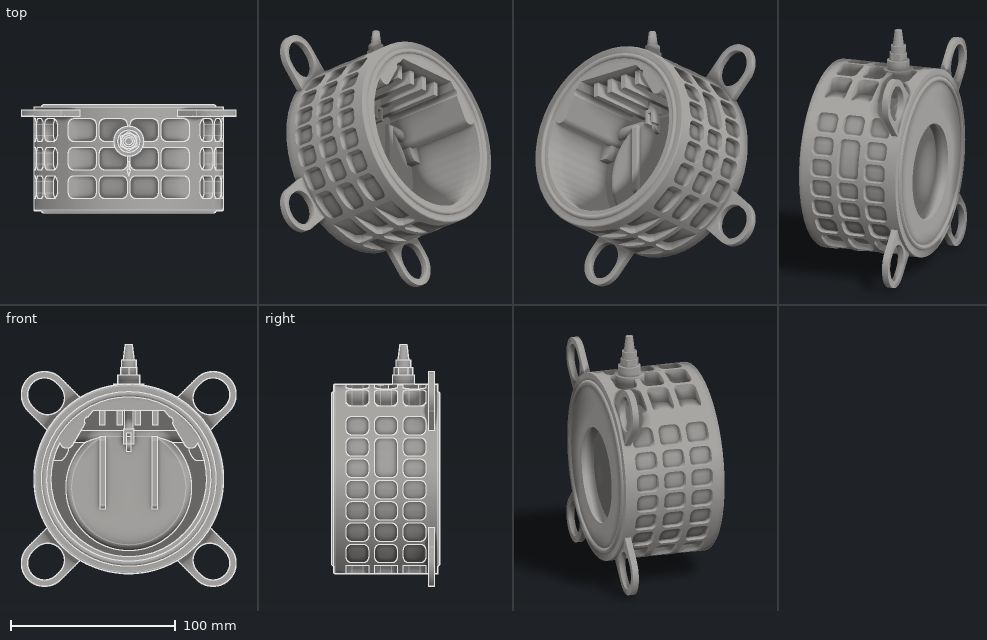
import cadquery as cq
import math

EXTRA = 14.7

BODY_RADIUS = 57.6
BODY_LENGTH = 63.2
FRONT_Y = -BODY_LENGTH / 2
BACK_Y = BODY_LENGTH / 2
FRONT_EDGE_RADIUS = 0.9
BORE_RADIUS = 47.2
WALL_OVERLAP = 1.5

BEAD_RADIUS = 1.6
BEAD_PITCH_RADIUS = 51.5
BEAD_HEIGHT = 1.3

ROD_RADIUS = 3.7
ROD_Y = 20.1
ROD_Z = 25.9
ROD_LENGTH = 72.0
FLAP_RADIUS = 38.2
FLAP_Z = -5.3
FLAP_EDGE_RADIUS = 3.5
FLAP_FRONT_Y = ROD_Y - ROD_RADIUS
SEAT_Y = ROD_Y + ROD_RADIUS
SEAT_OPENING_RADIUS = 29.4

FLAP_RIB_X = 15.9
FLAP_RIB_WIDTH = 3.2
FLAP_RIB_BOTTOM_Z = -18.2
FLAP_RIB_HEIGHT = 3.7
FLAP_RIB_ROUNDING = 2.4

TAB_WIDTH = 2.6
TAB_BOTTOM_Z = 16.8
TAB_HEIGHT = 4.5
TAB_ROUNDING = 4.3

CEILING_Z = 41.6
CEILING_HALF_WIDTH = 21.5
CROWN_RELIEF_START = (24.7, 37.8)
CROWN_RELIEF_MIDDLE = (26.9, 35.1)
CROWN_RELIEF_END = (26.5, 33.8)
CROWN_FOOT_START = (34.0, 20.7)
CROWN_FOOT_MIDDLE = (37.2, 18.7)
CROWN_FOOT_END = (41.9, 22.8)

CHEEK_BOTTOM_Z = 11.2
CHEEK_CORNER_X = 40.8
CHEEK_CURVE_MIDDLE = (38.6, 13.2)
CHEEK_TOP = (36.5, 18.5)

CEILING_RIB_OUTER_X = 16.0
CEILING_RIB_XS = [CEILING_RIB_OUTER_X * i / 3 for i in (-3, -1, 1, 3)]
CEILING_RIB_WIDTH = 3.4
CEILING_RIB_BOTTOM_Z = 32.8
CEILING_RIB_FRONT_Y = -24.0

POCKET_ROW_PITCH = 17.3
POCKET_ROW_MIDDLE_Y = 0.1
POCKET_ROW_YS = [POCKET_ROW_MIDDLE_Y + i * POCKET_ROW_PITCH for i in (-1, 0, 1)]
POCKET_LENGTH = 13.8
POCKET_CORNER_RADIUS = 3.5
TOP_POCKET_WIDTH = 17.0
TOP_POCKET_PITCH = 18.8
TOP_POCKET_XS = [TOP_POCKET_PITCH * i / 2 for i in (-3, -1, 1, 3)]
TOP_POCKET_FLOOR_Z = 44.4
SIDE_POCKET_HEIGHT = 11.2
SIDE_POCKET_PITCH = 13.0
SIDE_POCKET_COUNT = 7
SIDE_POCKET_TOP_Z = 32.3
SIDE_POCKET_FLOOR_RADIUS = 52.9
JOINED_POCKET_ROWS = (1, 2)
BOTTOM_POCKET_INNER_X = 1.0
BOTTOM_POCKET_OUTER_X = 29.4
BOTTOM_POCKET_FLOOR_Z = -52.5

EAR_CENTER = 51.1
EAR_RADIUS = 14.1
EAR_THICKNESS = 3.8
EAR_BACK_Y = 29.7
EAR_HOLE_RADIUS = 10.1
EAR_HOLE_INNER = 49.2

INDICATOR_Y = 10.7
BOSS_RADIUS = 9.1
BOSS_TOP_Z = BODY_RADIUS
COLLAR_RADIUS = 6.8
COLLAR_TOP_Z = 63.2
HEX_ACROSS_CORNERS = 11.5
HEX_TOP_Z = 67.7
NECK_RADIUS = 4.5
NECK_TOP_Z = 72.3
TIP_BASE_RADIUS = 3.4
TIP_END_RADIUS = 2.2
TIP_TOP_Z = 81.7
PLUNGER_RADIUS = 2.6
FORK_WIDTH = 6.2
FORK_TOP_Z = 30.3
FORK_BOTTOM_Z = 21.3
FORK_SLOT_TOP_Z = 27.9

ARROW_START_Y = -1.5
ARROW_HEAD_Y = -6.5
ARROW_TIP_Y = -10.3
ARROW_SHAFT_HALF_WIDTH = 0.6
ARROW_HEAD_HALF_WIDTH = 1.2
ARROW_DEPTH = 0.5


def box(x_range, y_range, z_range):
    """Box between pairs of coordinates."""
    (x0, x1), (y0, y1), (z0, z1) = x_range, y_range, z_range
    return cq.Workplane("XY").box(x1 - x0, y1 - y0, z1 - z0, centered=False).translate((x0, y0, z0))


def profile_plane(y):
    """XZ workplane at y; extruding from it by a positive length goes towards +Y."""
    return cq.Workplane(cq.Plane(origin=(0, y, 0), xDir=(-1, 0, 0), normal=(0, 1, 0)))


def pipe_cylinder(radius, y0, y1, z=0.0):
    """Cylinder parallel to the pipe axis."""
    return profile_plane(y0).center(0, z).circle(radius).extrude(y1 - y0)


def post(radius, z0, z1):
    """Upright cylinder on the indicator axis."""
    return cq.Workplane("XY", origin=(0, INDICATOR_Y, z0)).circle(radius).extrude(z1 - z0)


def rod(radius):
    """Hinge rod along X."""
    plane = cq.Workplane("YZ", origin=(-ROD_LENGTH / 2, ROD_Y, ROD_Z))
    return plane.circle(radius).extrude(ROD_LENGTH)


def with_mirror(shape):
    """Shape joined with its copy on the other side of the YZ plane."""
    return shape.union(shape.mirror("YZ"))


def make_tube():
    tube = pipe_cylinder(BODY_RADIUS, FRONT_Y, BACK_Y).faces("<Y").edges().fillet(FRONT_EDGE_RADIUS)
    tube = tube.cut(pipe_cylinder(BORE_RADIUS, FRONT_Y, SEAT_Y))
    return tube.cut(pipe_cylinder(SEAT_OPENING_RADIUS, SEAT_Y, BACK_Y, FLAP_Z))


def make_beads():
    """Half-round sealing beads on the front and back faces."""
    sink = BEAD_RADIUS - BEAD_HEIGHT
    beads = cq.Workplane("XY")
    for y in (FRONT_Y + sink, BACK_Y - sink):
        ring = cq.Solid.makeTorus(BEAD_PITCH_RADIUS, BEAD_RADIUS, cq.Vector(0, y, 0), cq.Vector(0, 1, 0))
        beads = beads.add(ring)
    return beads.combine()


def make_crown():
    """Fill above the flat ceiling, with sloping, relieved sides and rounded feet, full length of the bore."""
    half = (
        profile_plane(FRONT_Y)
        .moveTo(0, BORE_RADIUS + EXTRA)
        .lineTo(0, CEILING_Z)
        .lineTo(CEILING_HALF_WIDTH, CEILING_Z)
        .lineTo(*CROWN_RELIEF_START)
        .threePointArc(CROWN_RELIEF_MIDDLE, CROWN_RELIEF_END)
        .lineTo(*CROWN_FOOT_START)
        .threePointArc(CROWN_FOOT_MIDDLE, CROWN_FOOT_END)
        .lineTo(BORE_RADIUS + EXTRA, CROWN_FOOT_END[1])
        .lineTo(BORE_RADIUS + EXTRA, BORE_RADIUS + EXTRA)
        .close()
        .extrude(SEAT_Y - FRONT_Y)
    )
    return with_mirror(half).intersect(bore_fill())


def make_cheeks():
    """Rounded cheeks beside the seat that carry the ends of the hinge rod."""
    cheek = (
        profile_plane(FLAP_FRONT_Y)
        .moveTo(BORE_RADIUS + EXTRA, CHEEK_BOTTOM_Z)
        .lineTo(CHEEK_CORNER_X, CHEEK_BOTTOM_Z)
        .threePointArc(CHEEK_CURVE_MIDDLE, CHEEK_TOP)
        .lineTo(CHEEK_TOP[0], CROWN_FOOT_END[1])
        .lineTo(BORE_RADIUS + EXTRA, CROWN_FOOT_END[1])
        .close()
        .extrude(SEAT_Y - FLAP_FRONT_Y)
    )
    return with_mirror(cheek).intersect(bore_fill())


def bore_fill():
    """Plug that fills the bore and reaches slightly into the tube wall."""
    return pipe_cylinder(BORE_RADIUS + WALL_OVERLAP, FRONT_Y, SEAT_Y)


def make_ceiling_ribs():
    ribs = cq.Workplane("XY")
    for x in CEILING_RIB_XS:
        x_range = (x - CEILING_RIB_WIDTH / 2, x + CEILING_RIB_WIDTH / 2)
        ribs = ribs.union(box(x_range, (CEILING_RIB_FRONT_Y, SEAT_Y), (CEILING_RIB_BOTTOM_Z, CEILING_Z)))
    return ribs


def make_ears():
    """Four rounded ears on the diagonals, each with a slightly elongated hole."""
    reach = EAR_CENTER * math.sqrt(2)
    hole_reach = EAR_HOLE_INNER * math.sqrt(2)
    hole_length = reach - hole_reach + 2 * EAR_HOLE_RADIUS
    plane = profile_plane(EAR_BACK_Y - EAR_THICKNESS)
    ear = plane.center(reach / 2, 0).rect(reach, 2 * EAR_RADIUS).extrude(EAR_THICKNESS)
    ear = ear.union(plane.moveTo(reach, 0).circle(EAR_RADIUS).extrude(EAR_THICKNESS))
    hole = plane.moveTo((reach + hole_reach) / 2, 0).slot2D(hole_length, 2 * EAR_HOLE_RADIUS)
    ear = ear.cut(hole.extrude(EAR_THICKNESS))
    ear = ear.cut(pipe_cylinder(SIDE_POCKET_FLOOR_RADIUS, FRONT_Y, BACK_Y))
    ears = cq.Workplane("XY")
    for angle in (45, 135, 225, 315):
        ears = ears.union(ear.rotate((0, 0, 0), (0, 1, 0), angle))
    return ears


def pocket_y_range(y):
    return (y - POCKET_LENGTH / 2, y + POCKET_LENGTH / 2)


def make_top_pockets():
    pockets = cq.Workplane("XY")
    for x in TOP_POCKET_XS:
        x_range = (x - TOP_POCKET_WIDTH / 2, x + TOP_POCKET_WIDTH / 2)
        for y in POCKET_ROW_YS:
            pocket = box(x_range, pocket_y_range(y), (TOP_POCKET_FLOOR_Z, BODY_RADIUS + EXTRA))
            pockets = pockets.union(pocket.edges("|Z").fillet(POCKET_CORNER_RADIUS))
    return pockets


def side_pocket(y, top_row, bottom_row):
    """Pocket cut along X into the +X side from one row to another, its floor concentric with the tube."""
    top_z = SIDE_POCKET_TOP_Z - top_row * SIDE_POCKET_PITCH + SIDE_POCKET_HEIGHT / 2
    bottom_z = SIDE_POCKET_TOP_Z - bottom_row * SIDE_POCKET_PITCH - SIDE_POCKET_HEIGHT / 2
    pocket = box((0, BODY_RADIUS + EXTRA), pocket_y_range(y), (bottom_z, top_z))
    pocket = pocket.edges("|X").fillet(POCKET_CORNER_RADIUS)
    return pocket.cut(pipe_cylinder(SIDE_POCKET_FLOOR_RADIUS, FRONT_Y, BACK_Y))


def make_side_pockets():
    """Pockets on both sides, with one double-height pocket on the +X side."""
    pockets = cq.Workplane("XY")
    for row in range(SIDE_POCKET_COUNT):
        for y in POCKET_ROW_YS:
            pockets = pockets.union(side_pocket(y, row, row))
    return with_mirror(pockets).union(side_pocket(POCKET_ROW_MIDDLE_Y, *JOINED_POCKET_ROWS))


def make_bottom_pockets():
    """Wide pockets from below whose flat floors run out through the side of the tube."""
    pockets = cq.Workplane("XY")
    x_range = (BOTTOM_POCKET_INNER_X, BOTTOM_POCKET_OUTER_X)
    for y in POCKET_ROW_YS:
        pocket = box(x_range, pocket_y_range(y), (-BODY_RADIUS - EXTRA, BOTTOM_POCKET_FLOOR_Z))
        pockets = pockets.union(pocket.edges("|Z").fillet(POCKET_CORNER_RADIUS))
    return with_mirror(pockets)


def make_arrow():
    outline = [
        (ARROW_SHAFT_HALF_WIDTH, ARROW_START_Y),
        (ARROW_SHAFT_HALF_WIDTH, ARROW_HEAD_Y),
        (ARROW_HEAD_HALF_WIDTH, ARROW_HEAD_Y),
        (0, ARROW_TIP_Y),
        (-ARROW_HEAD_HALF_WIDTH, ARROW_HEAD_Y),
        (-ARROW_SHAFT_HALF_WIDTH, ARROW_HEAD_Y),
        (-ARROW_SHAFT_HALF_WIDTH, ARROW_START_Y),
    ]
    plane = cq.Workplane("XY").workplane(offset=BODY_RADIUS - ARROW_DEPTH)
    return plane.polyline(outline).close().extrude(EXTRA)


def make_housing():
    housing = make_tube().union(make_crown()).union(make_cheeks()).union(make_ceiling_ribs())
    housing = housing.union(make_beads()).union(make_ears())
    housing = housing.cut(make_top_pockets()).cut(make_side_pockets()).cut(make_bottom_pockets())
    housing = housing.union(post(BOSS_RADIUS, CEILING_Z, BOSS_TOP_Z))
    housing = housing.cut(post(PLUNGER_RADIUS, CEILING_Z, BOSS_TOP_Z))
    return housing.cut(rod(ROD_RADIUS)).cut(make_arrow())


def make_front_bar(x, width, bottom_z, height, rounding):
    """Upright bar on the front of the flap, up to the hinge, with rounded ends."""
    bar = box(
        (x - width / 2, x + width / 2),
        (FLAP_FRONT_Y - height, ROD_Y),
        (bottom_z, ROD_Z),
    )
    return bar.edges("|X and <Y").fillet(rounding)


def make_flap():
    """Disc with a rounded front edge, cut straight at the hinge rod that it carries."""
    flap = pipe_cylinder(FLAP_RADIUS, FLAP_FRONT_Y, SEAT_Y, FLAP_Z)
    flap = flap.faces("<Y").edges().fillet(FLAP_EDGE_RADIUS)
    flap = flap.cut(box((-FLAP_RADIUS, FLAP_RADIUS), (FRONT_Y, BACK_Y), (ROD_Z, BODY_RADIUS)))
    flap = flap.union(rod(ROD_RADIUS))
    for x in (-FLAP_RIB_X, FLAP_RIB_X):
        bar = make_front_bar(x, FLAP_RIB_WIDTH, FLAP_RIB_BOTTOM_Z, FLAP_RIB_HEIGHT, FLAP_RIB_ROUNDING)
        flap = flap.union(bar)
    return flap.union(make_front_bar(0, TAB_WIDTH, TAB_BOTTOM_Z, TAB_HEIGHT, TAB_ROUNDING))


def make_indicator():
    """Screwed-in indicator with a plunger that ends in a fork around the tab of the flap."""
    indicator = post(PLUNGER_RADIUS, FORK_TOP_Z, BOSS_TOP_Z)
    indicator = indicator.union(post(COLLAR_RADIUS, BOSS_TOP_Z, COLLAR_TOP_Z))
    hex_nut = (
        cq.Workplane("XY", origin=(0, INDICATOR_Y, COLLAR_TOP_Z))
        .transformed(rotate=(0, 0, 90))
        .polygon(6, HEX_ACROSS_CORNERS)
        .extrude(HEX_TOP_Z - COLLAR_TOP_Z)
    )
    tip = cq.Solid.makeCone(
        TIP_BASE_RADIUS, TIP_END_RADIUS, TIP_TOP_Z - NECK_TOP_Z, cq.Vector(0, INDICATOR_Y, NECK_TOP_Z)
    )
    indicator = indicator.union(hex_nut).union(post(NECK_RADIUS, HEX_TOP_Z, NECK_TOP_Z))
    indicator = indicator.union(cq.Workplane(tip))
    y_range = (INDICATOR_Y - FORK_WIDTH / 2, INDICATOR_Y + FORK_WIDTH / 2)
    fork = box((-FORK_WIDTH / 2, FORK_WIDTH / 2), y_range, (FORK_BOTTOM_Z, FORK_TOP_Z))
    slot = box((-TAB_WIDTH / 2, TAB_WIDTH / 2), y_range, (FORK_BOTTOM_Z, FORK_SLOT_TOP_Z))
    return indicator.union(fork.cut(slot))


housing = make_housing().solids()
flap = make_flap().solids()
indicator = make_indicator().solids()
result = cq.Compound.makeCompound([housing.val(), flap.val(), indicator.val()])